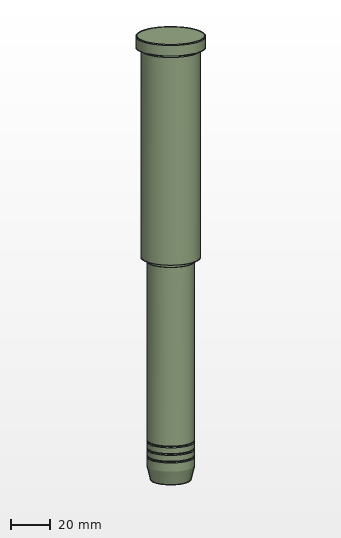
import cadquery as cq

total_length = 231.0
head_radius = 17.5
head_height = 6.0
head_chamfer = 0.5
shank_radius = 15.0
shank_bottom = 115.5
shank_round = 0.5
pin_radius = 12.0

relief_depth = 0.2
head_relief_height = 1.5
pin_relief_height = 1.8

groove_count = 3
groove_pitch = 4.0
first_groove_height = 12.5
groove_width = 1.0
groove_depth = 0.5

tip_height = 7.5
tip_radius = 10.2
tip_round = 0.7

head_bottom = total_length - head_height


def stepped_body():
    """Revolve the half outline of the tip, pin, shank and head."""
    outline = (
        cq.Workplane("XZ")
        .lineTo(tip_radius, 0)
        .lineTo(pin_radius, tip_height)
        .lineTo(pin_radius, shank_bottom)
        .lineTo(shank_radius - shank_round, shank_bottom)
        .radiusArc((shank_radius, shank_bottom + shank_round), -shank_round)
        .lineTo(shank_radius, head_bottom)
        .lineTo(head_radius, head_bottom)
        .lineTo(head_radius, total_length - head_chamfer)
        .lineTo(head_radius - head_chamfer, total_length)
        .lineTo(0, total_length)
        .close()
    )
    body = outline.revolve(360, (0, 0, 0), (0, 1, 0))
    return body.faces("<Z").edges().fillet(tip_round)


def vee_ring(surface_radius, depth, bottom, height):
    """Ring that cuts a V-shaped groove into a cylindrical surface."""
    section = (
        cq.Workplane("XZ")
        .moveTo(surface_radius, bottom)
        .lineTo(surface_radius - depth, bottom + height / 2)
        .lineTo(surface_radius, bottom + height)
        .close()
    )
    return section.revolve(360, (0, 0, 0), (0, 1, 0))


def groove_ring(surface_radius, depth, bottom, height):
    """Ring that cuts a square groove into a cylindrical surface."""
    return (
        cq.Workplane("XY", origin=(0, 0, bottom))
        .circle(surface_radius)
        .circle(surface_radius - depth)
        .extrude(height)
    )


result = stepped_body()

head_relief_bottom = head_bottom - head_relief_height
result = result.cut(vee_ring(shank_radius, relief_depth, head_relief_bottom, head_relief_height))

pin_relief_bottom = shank_bottom - pin_relief_height
result = result.cut(groove_ring(pin_radius, relief_depth, pin_relief_bottom, pin_relief_height))

for index in range(groove_count):
    groove_bottom = first_groove_height + index * groove_pitch - groove_width / 2
    result = result.cut(vee_ring(pin_radius, groove_depth, groove_bottom, groove_width))